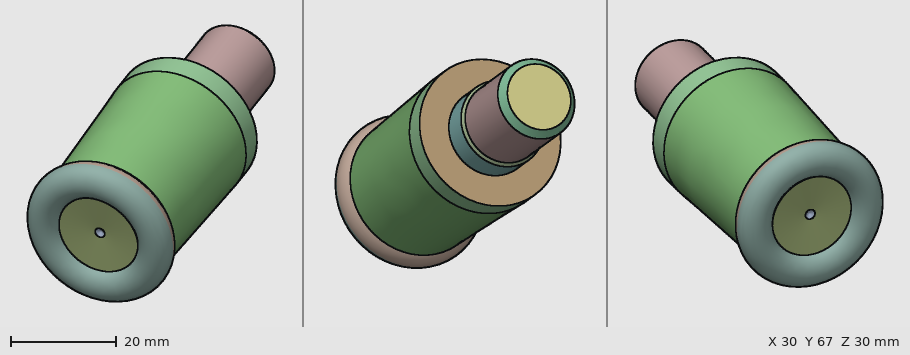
import cadquery as cq
import math


shank_radius = 7.9
collar_radius = 8.5
flange_radius = 14.5
flange_thickness = 5.0
collar_length = 6.0
stud_length = 24.0
tip_chamfer = 1.4

bumper_length = 38.0
neck_radius = 13.45
lip_outer_radius = 15.0
lip_round = 3.5
recess_radius = 8.2
recess_cone_depth = 0.7
dimple_radius = 1.0
dimple_depth = 0.6


def revolve_about_y(profile):
    """Turn a closed half profile, given as (y, radius), about the Y axis."""
    return profile.close().revolve(360, (0, 0, 0), (1, 0, 0))


def make_stud():
    """Flange, collar and shank, with 45 degree chamfers on collar and tip."""
    collar_chamfer = collar_radius - shank_radius
    profile = (
        cq.Workplane("YZ")
        .moveTo(-flange_thickness, 0)
        .lineTo(-flange_thickness, flange_radius)
        .lineTo(0, flange_radius)
        .lineTo(0, collar_radius)
        .lineTo(collar_length, collar_radius)
        .lineTo(collar_length + collar_chamfer, shank_radius)
        .lineTo(stud_length - tip_chamfer, shank_radius)
        .lineTo(stud_length, shank_radius - tip_chamfer)
        .lineTo(stud_length, 0)
    )
    return revolve_about_y(profile)


def make_bumper():
    """Tapered body with a rounded ring lip around a shallow conical recess."""
    root_y = -flange_thickness
    lip_center_radius = lip_outer_radius - lip_round
    front_y = root_y - bumper_length
    lip_center_y = front_y + lip_round

    neck_y = lip_center_y + math.sqrt(lip_round**2 - (neck_radius - lip_center_radius) ** 2)
    recess_y = lip_center_y - math.sqrt(lip_round**2 - (lip_center_radius - recess_radius) ** 2)
    dimple_rim_y = recess_y + recess_cone_depth

    profile = (
        cq.Workplane("YZ")
        .moveTo(root_y, 0)
        .lineTo(root_y, flange_radius)
        .lineTo(neck_y, neck_radius)
        .radiusArc((lip_center_y, lip_outer_radius), -lip_round)
        .threePointArc((front_y, lip_center_radius), (recess_y, recess_radius))
        .lineTo(dimple_rim_y, dimple_radius)
        .lineTo(dimple_rim_y + dimple_depth, 0)
    )
    return revolve_about_y(profile)


stud = make_stud()
bumper = make_bumper()

result = cq.Compound.makeCompound([stud.val(), bumper.val()])